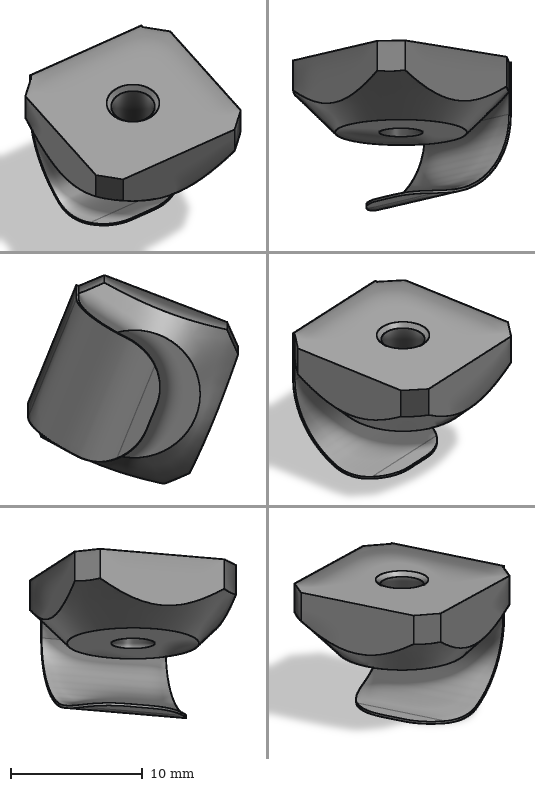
import cadquery as cq
import math

block_side = 13.0
block_height = 5.5
corner_cut = 1.5
bottom_radius = 5.0

hole_diameter = 3.3
countersink_diameter = 4.0
countersink_angle = 90

spring_thickness = 0.2
spring_width = block_side - 2 * corner_cut
total_depth = 10.8
spring_straight = 4.0
spring_tip_x = 1.4
tip_corner_radius = 4.0

half_side = block_side / 2
bend_outer_radius = total_depth - spring_straight
bend_inner_radius = bend_outer_radius - spring_thickness
spring_outer_x = -half_side - spring_thickness
spring_inner_z = -total_depth + spring_thickness
bend_center_x = spring_outer_x + bend_outer_radius


def make_block():
    """Square block with cut corners, its underside shaped by a 45 degree cone."""
    block = (
        cq.Workplane("XY")
        .rect(block_side, block_side)
        .extrude(-block_height)
        .edges("|Z")
        .chamfer(corner_cut)
    )
    cone_top_radius = bottom_radius + block_height
    cone = (
        cq.Workplane("XZ")
        .lineTo(cone_top_radius, 0)
        .lineTo(bottom_radius, -block_height)
        .lineTo(0, -block_height)
        .close()
        .revolve(360, (0, 0, 0), (0, 1, 0))
    )
    return block.intersect(cone)


def cut_hole(block):
    """Through hole with a countersink at the top."""
    return (
        block.faces(">Z")
        .workplane(origin=(0, 0, 0))
        .cskHole(hole_diameter, countersink_diameter, countersink_angle)
    )


def make_spring():
    """Strip that runs down the -X face, bends a quarter turn and ends flat with rounded corners."""
    half_bend = math.sqrt(0.5)
    strip = (
        cq.Workplane("XZ")
        .moveTo(spring_outer_x, 0)
        .lineTo(spring_outer_x, -spring_straight)
        .threePointArc(
            (bend_center_x - bend_outer_radius * half_bend, -spring_straight - bend_outer_radius * half_bend),
            (bend_center_x, -total_depth),
        )
        .lineTo(spring_tip_x, -total_depth)
        .lineTo(spring_tip_x, spring_inner_z)
        .lineTo(bend_center_x, spring_inner_z)
        .threePointArc(
            (bend_center_x - bend_inner_radius * half_bend, -spring_straight - bend_inner_radius * half_bend),
            (-half_side, -spring_straight),
        )
        .lineTo(-half_side, 0)
        .close()
        .extrude(spring_width / 2, both=True)
    )
    tongue_length = spring_tip_x - spring_outer_x
    tongue = (
        cq.Workplane("XY")
        .center(spring_outer_x + tongue_length / 2, 0)
        .rect(tongue_length, spring_width)
        .extrude(-total_depth)
        .edges("|Z and >X")
        .fillet(tip_corner_radius)
    )
    return strip.intersect(tongue)


result = cut_hole(make_block()).union(make_spring())